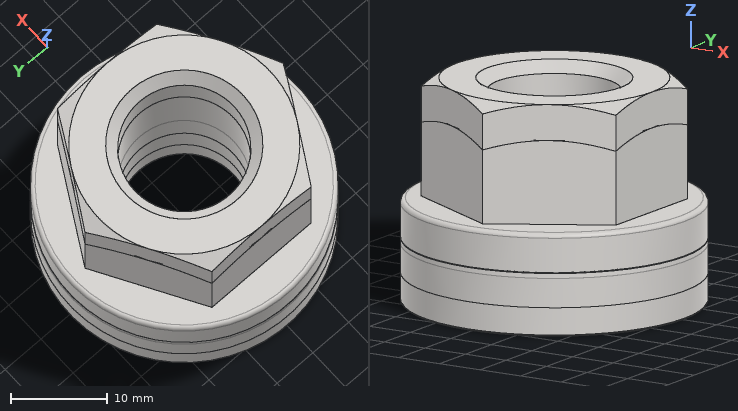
import cadquery as cq
import math

OUTER_RADIUS = 16.0
TOTAL_HEIGHT = 23.8
FLANGE_TOP = 11.0
NUT_BOTTOM = 6.8
WASHER_SPLIT = 3.07
CAP_THICKNESS = 3.85

BORE_RADIUS = 13.82 / 2
BORE_CHAMFER = 1.25
HEX_ACROSS_FLATS = 24.0
HEX_CORNER_RADIUS = HEX_ACROSS_FLATS / math.sqrt(3)
CROWN_RADIUS = HEX_ACROSS_FLATS / 2
CROWN_ANGLE = 30.0

FLANGE_ROUND = 0.5
BOTTOM_CHAMFER = 0.15
GAP_HEIGHT = 0.1
GAP_DEPTH = 0.32
TAPER_INSET = 0.03
TAPER_HEIGHT = 0.5


def ring(bottom, top):
    """Plain ring of the full outer diameter around the bore."""
    return (
        cq.Workplane("XY", origin=(0, 0, bottom))
        .circle(OUTER_RADIUS)
        .circle(BORE_RADIUS)
        .extrude(top - bottom)
    )


def revolved(profile):
    """Solid of revolution about Z from a closed (radius, height) outline."""
    return cq.Workplane("XZ").polyline(profile).close().revolve(360, (0, 0, 0), (0, 1, 0))


def outer_edge(body, face):
    """Select the larger of the two circular edges on a ring's end face."""
    return body.faces(face).edges(cq.selectors.RadiusNthSelector(-1))


def crowned_envelope(top):
    """Revolved blank with a conical crown and a chamfered bore mouth at height top."""
    crown_drop = (OUTER_RADIUS - CROWN_RADIUS) * math.tan(math.radians(CROWN_ANGLE))
    profile = [
        (BORE_RADIUS, NUT_BOTTOM),
        (BORE_RADIUS, top - BORE_CHAMFER),
        (BORE_RADIUS + BORE_CHAMFER, top),
        (CROWN_RADIUS, top),
        (OUTER_RADIUS, top - crown_drop),
        (OUTER_RADIUS, NUT_BOTTOM),
    ]
    return revolved(profile)


def crowned_hexagon(top):
    """Hexagon with corners on the Y axis, trimmed by the crowned envelope."""
    hexagon = (
        cq.Workplane("XY", origin=(0, 0, NUT_BOTTOM))
        .polygon(6, 2 * HEX_CORNER_RADIUS)
        .extrude(TOTAL_HEIGHT - NUT_BOTTOM)
        .rotate((0, 0, 0), (0, 0, 1), 90)
    )
    return hexagon.intersect(crowned_envelope(top))


def make_flanged_nut():
    """Hexagon nut on a round flange, below the cap."""
    flange = outer_edge(ring(NUT_BOTTOM, FLANGE_TOP), ">Z").fillet(FLANGE_ROUND)
    return flange.union(crowned_hexagon(TOTAL_HEIGHT - CAP_THICKNESS))


def make_cap():
    """Hexagonal cap whose underside follows the crown of the nut."""
    return crowned_hexagon(TOTAL_HEIGHT).cut(crowned_envelope(TOTAL_HEIGHT - CAP_THICKNESS))


def make_upper_washer():
    """Washer touching the flange, with a slightly tapered rim and a hairline gap above it."""
    rim_top = NUT_BOTTOM - GAP_HEIGHT
    seat_radius = OUTER_RADIUS - GAP_DEPTH
    profile = [
        (BORE_RADIUS, WASHER_SPLIT),
        (OUTER_RADIUS, WASHER_SPLIT),
        (OUTER_RADIUS, rim_top - TAPER_HEIGHT),
        (OUTER_RADIUS - TAPER_INSET, rim_top),
        (seat_radius, rim_top),
        (seat_radius, NUT_BOTTOM),
        (BORE_RADIUS, NUT_BOTTOM),
    ]
    return revolved(profile)


def make_lower_washer():
    """Plain bottom washer with a small chamfer around its lower rim."""
    return outer_edge(ring(0, WASHER_SPLIT), "<Z").chamfer(BOTTOM_CHAMFER)


flanged_nut = make_flanged_nut()
cap = make_cap()
upper_washer = make_upper_washer()
lower_washer = make_lower_washer()

result = cq.Compound.makeCompound(
    [flanged_nut.val(), cap.val(), upper_washer.val(), lower_washer.val()]
)